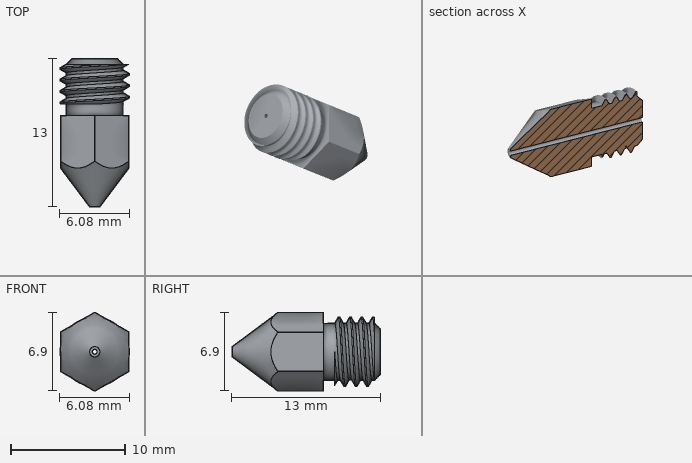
import cadquery as cq
import math


total_length = 13.0
hex_end = 8.0
neck_length = 1.0
lead_in = 0.5

tip_radius = 0.45
orifice_diameter = 0.4
cone_length = 4.0
corner_radius = 3.45
across_flats = 6.0
half_side_angle = 30

root_radius = 2.5
pitch = 1.0
crest_width = pitch / 8
root_width = pitch * 3 / 4
flank_angle = math.radians(30)
thread_depth = (root_width - crest_width) / 2 / math.tan(flank_angle)
crest_radius = root_radius + thread_depth
thread_overlap = 0.1
thread_start = hex_end + neck_length
thread_end = total_length - lead_in


def make_head():
    """Hexagon whose corners and front are turned to a cylinder and a cone."""
    corner_to_corner = across_flats / math.cos(math.radians(half_side_angle))
    hexagon = (
        cq.Workplane("XY")
        .polygon(6, corner_to_corner)
        .extrude(hex_end)
        .rotate((0, 0, 0), (0, 0, 1), half_side_angle)
    )
    turned = (
        cq.Workplane("XZ")
        .moveTo(0, 0)
        .lineTo(-tip_radius, 0)
        .lineTo(-corner_radius, cone_length)
        .lineTo(-corner_radius, hex_end)
        .lineTo(0, hex_end)
        .close()
        .revolve(360, (0, 0), (0, 1))
    )
    return hexagon.intersect(turned)


def make_shank():
    """Plain cylinder at the thread root radius, chamfered at the back.

    It is revolved from the -X side, so its seam lies opposite the start of the helix.
    """
    return (
        cq.Workplane("XZ")
        .moveTo(0, hex_end)
        .lineTo(-root_radius, hex_end)
        .lineTo(-root_radius, thread_end)
        .lineTo(lead_in - root_radius, total_length)
        .lineTo(0, total_length)
        .close()
        .revolve(360, (0, 0), (0, 1))
    )


def make_thread():
    """Right-hand ridge, cut off square at both ends of the threaded length."""
    crest_on_minus_x = thread_end - root_width / 2
    turns = math.ceil((thread_end - thread_start) / pitch) + 2
    sweep_start = crest_on_minus_x + pitch / 2 - (turns - 1) * pitch
    sunk_radius = root_radius - thread_overlap
    half_crest = crest_width / 2
    half_base = root_width / 2 + thread_overlap * math.tan(flank_angle)

    helix = cq.Wire.makeHelix(pitch, turns * pitch, root_radius, cq.Vector(0, 0, sweep_start))
    ridge = (
        cq.Workplane("XZ")
        .moveTo(sunk_radius, sweep_start - half_base)
        .lineTo(crest_radius, sweep_start - half_crest)
        .lineTo(crest_radius, sweep_start + half_crest)
        .lineTo(sunk_radius, sweep_start + half_base)
        .close()
        .sweep(cq.Workplane(obj=helix), isFrenet=True)
    )
    threaded_zone = (
        cq.Workplane("XY", origin=(0, 0, thread_start))
        .circle(2 * crest_radius)
        .extrude(thread_end - thread_start)
    )
    return ridge.intersect(threaded_zone)


orifice = cq.Workplane("XY").circle(orifice_diameter / 2).extrude(total_length)

upright = make_shank().union(make_thread()).union(make_head()).cut(orifice)
result = upright.rotate((0, 0, 0), (1, 0, 0), -90)